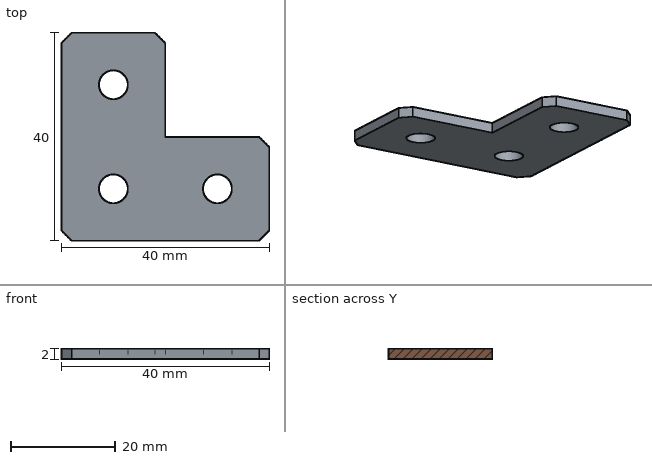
import cadquery as cq

arm_width = 20.0
leg_length = 2 * arm_width
thickness = 2.0
corner_chamfer = 2.0
hole_diameter = 5.5

near_hole = arm_width / 2
far_hole = near_hole + arm_width
hole_centers = [
    (near_hole, near_hole),
    (far_hole, near_hole),
    (near_hole, far_hole),
]


def make_plate():
    """L-shaped plate with its outer corner at the origin and all convex corners chamfered."""
    outline = [
        (0, 0),
        (leg_length, 0),
        (leg_length, arm_width),
        (arm_width, arm_width),
        (arm_width, leg_length),
        (0, leg_length),
    ]
    plate = cq.Workplane("XY").polyline(outline).close().extrude(thickness)
    inner_corner = cq.selectors.NearestToPointSelector((arm_width, arm_width, thickness / 2))
    convex_corners = cq.selectors.SubtractSelector(
        cq.selectors.ParallelDirSelector(cq.Vector(0, 0, 1)), inner_corner
    )
    return plate.edges(convex_corners).chamfer(corner_chamfer)


def make_hole_cutters():
    """Cylinders for the through holes."""
    return cq.Workplane("XY").pushPoints(hole_centers).circle(hole_diameter / 2).extrude(thickness)


result = make_plate().cut(make_hole_cutters())